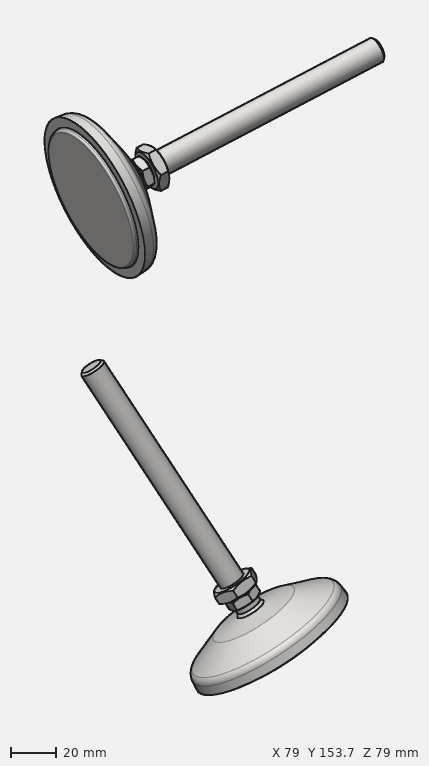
import cadquery as cq
import math

TOTAL_LENGTH = 153.7

PAD_HEIGHT = 2.0
PAD_TOP_RADIUS = 34.5
PAD_SIDE_RADIUS = 34.1
PAD_EDGE_ROUND = 1.0

BASE_RIM_RADIUS = 39.5
RIM_TOP_RADIUS = 39.0
RIM_TOP_Y = 6.8
SHOULDER_RADIUS = 37.0
SHOULDER_Y = 10.0
CROWN_RADIUS = 21.2
CROWN_Y = 17.7
BASE_TOP_RADIUS = 6.9
BASE_TOP_Y = 20.1

STUD_RADIUS = 6.0
STUD_CHAMFER = 1.0
FLARE_RADIUS = BASE_TOP_RADIUS
FLARE_HEIGHT = 1.5
STUD_HEX_FLATS = 14.0
STUD_HEX_Y = 24.3
STUD_HEX_HEIGHT = 4.9
STUD_HEX_END_RADIUS = 6.9

NUT_FLATS = 19.0
NUT_Y = 29.8
NUT_HEIGHT = 6.0
NUT_END_RADIUS = 9.0

HEX_CHAMFER_ANGLE = 30.0


def revolve_about_y(profile):
    """Revolve a closed (radius, y) profile a full turn about the Y axis."""
    return profile.close().revolve(360, (0, 0, 0), (0, 1, 0))


def cylinder(radius, start_y, height):
    """Cylinder on the Y axis, from start_y towards +Y."""
    return cq.Workplane("XZ", origin=(0, start_y, 0)).circle(radius).extrude(-height)


def chamfered_hexagon(across_flats, start_y, height, end_radius, turn):
    """Hexagonal prism on the Y axis with conical corner chamfers at both ends.

    With turn = 0 two corners lie on the X axis.
    """
    corner_radius = across_flats / 2 / math.cos(math.radians(30))
    chamfer_height = (corner_radius - end_radius) * math.tan(math.radians(HEX_CHAMFER_ANGLE))
    end_y = start_y + height
    prism = (
        cq.Workplane("XZ", origin=(0, start_y, 0))
        .polygon(6, 2 * corner_radius)
        .extrude(-height)
        .rotate((0, 0, 0), (0, 1, 0), turn)
    )
    envelope = revolve_about_y(
        cq.Workplane("XY")
        .moveTo(0, start_y)
        .lineTo(end_radius, start_y)
        .lineTo(corner_radius, start_y + chamfer_height)
        .lineTo(corner_radius, end_y - chamfer_height)
        .lineTo(end_radius, end_y)
        .lineTo(0, end_y)
    )
    return prism.intersect(envelope)


def make_pad():
    """Slightly tapered disc with a rounded lower edge."""
    return revolve_about_y(
        cq.Workplane("XY")
        .lineTo(PAD_SIDE_RADIUS - PAD_EDGE_ROUND, 0)
        .radiusArc((PAD_SIDE_RADIUS, PAD_EDGE_ROUND), -PAD_EDGE_ROUND)
        .lineTo(PAD_TOP_RADIUS, PAD_HEIGHT)
        .lineTo(0, PAD_HEIGHT)
    )


def make_base():
    """Conical base plate with a rounded shoulder above its tapered rim."""
    return revolve_about_y(
        cq.Workplane("XY")
        .moveTo(0, PAD_HEIGHT)
        .lineTo(BASE_RIM_RADIUS, PAD_HEIGHT)
        .lineTo(RIM_TOP_RADIUS, RIM_TOP_Y)
        .tangentArcPoint((SHOULDER_RADIUS, SHOULDER_Y), relative=False)
        .lineTo(CROWN_RADIUS, CROWN_Y)
        .lineTo(BASE_TOP_RADIUS, BASE_TOP_Y)
        .lineTo(0, BASE_TOP_Y)
    )


def make_stud():
    """Round stud with a flared foot, a wrench hexagon and a chamfered free end."""
    shaft = revolve_about_y(
        cq.Workplane("XY")
        .moveTo(0, BASE_TOP_Y)
        .lineTo(FLARE_RADIUS, BASE_TOP_Y)
        .lineTo(STUD_RADIUS, BASE_TOP_Y + FLARE_HEIGHT)
        .lineTo(STUD_RADIUS, TOTAL_LENGTH - STUD_CHAMFER)
        .lineTo(STUD_RADIUS - STUD_CHAMFER, TOTAL_LENGTH)
        .lineTo(0, TOTAL_LENGTH)
    )
    hexagon = chamfered_hexagon(
        STUD_HEX_FLATS, STUD_HEX_Y, STUD_HEX_HEIGHT, STUD_HEX_END_RADIUS, turn=0
    )
    return shaft.union(hexagon)


def make_nut():
    """Hexagonal lock nut, corners on the Z axis, bored to fit the stud."""
    blank = chamfered_hexagon(NUT_FLATS, NUT_Y, NUT_HEIGHT, NUT_END_RADIUS, turn=30)
    return blank.cut(cylinder(STUD_RADIUS, NUT_Y, NUT_HEIGHT))


pad = make_pad()
base = make_base()
stud = make_stud()
nut = make_nut()

result = cq.Compound.makeCompound([pad.val(), base.val(), stud.val(), nut.val()])